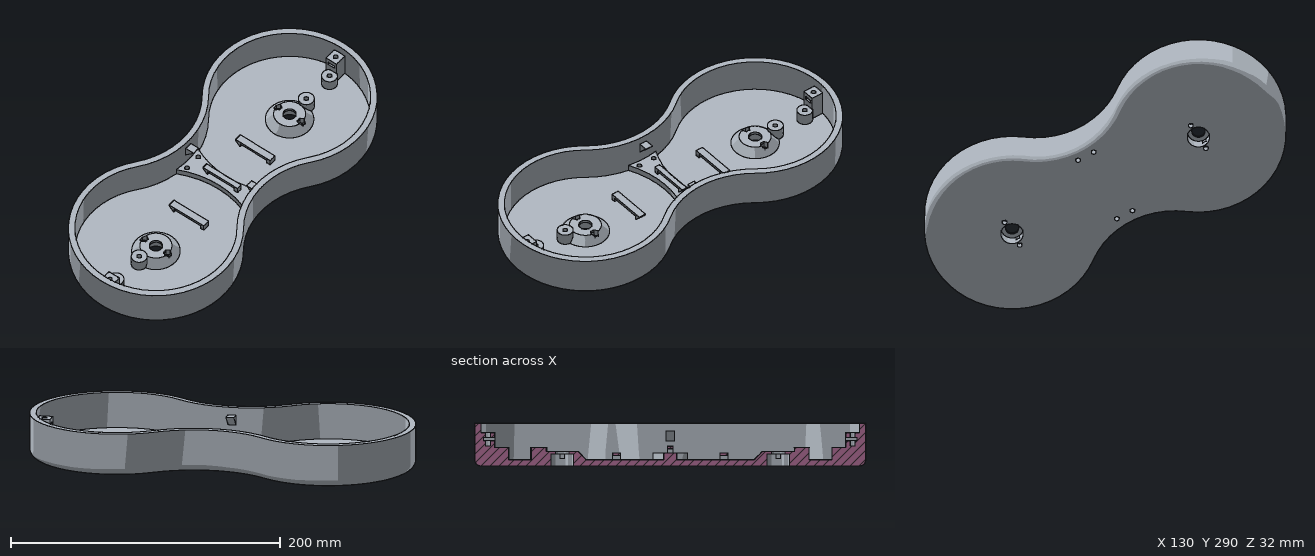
import cadquery as cq
import math

lobe_radius = 65.0
lobe_y = 80.0
height = 32.0
wall = 5.0
floor = 5.0
bottom_round = 5.0
embed = wall / 2

hub_base_radius = 18.0
hub_top_radius = 12.0
hub_top = 11.0
hub_bore_diameter = 10.0
hub_recess_diameter = 16.5
hub_recess_depth = 9.0
hub_screw_x = 11.0
hub_nut_seat = 5.8
hub_nut_corners = 6.0
screw_diameter = 3.5

post_diameter = 12.0
post_x = 2.0
post_ys = (97.5, 125.3)
post_top = 14.0

block_width = 10.0
block_inner_y = 130.0
block_top = 25.0
block_hole_y = 135.0
block_hole_bottom = 15.0
nut_width = 5.8
nut_thickness = 2.3
nut_z = 20.0
nut_slot_depth = 8.5

pad_top = 10.0
pad_clear_radius = 75.0
pad_hole_x = 28.5
pad_hole_y = 6.7

bridge_length = 32.8
bridge_x = -0.72
bridge_rise = 5.0
bridge_plate = 2.0
bridge_window = 25.0
bridge_tip = 1.0
pad_bridge_width = 4.4
floor_bridge_width = 5.8
floor_bridge_y = 39.7

catch_tip_x = 25.0
catch_width = 6.0
catch_top = 26.0

tangent_y = lobe_y / 2
tangent_x = math.sqrt(lobe_radius**2 - tangent_y**2)
waist_centre_x = 2 * tangent_x
waist_inner_x = waist_centre_x - lobe_radius - wall


def cylinder(x, y, bottom, top, diameter):
    return cq.Workplane("XY", origin=(x, y, bottom)).circle(diameter / 2).extrude(top - bottom)


def hex_pocket(x, y, bottom, top, corners):
    """A hexagonal prism with two corners along Y."""
    hexagon = cq.Workplane("XY", origin=(x, y, bottom)).polygon(6, corners).extrude(top - bottom)
    return hexagon.rotate((x, y, 0), (x, y, 1), 90)


def box(x, y, z, size_x, size_y, size_z):
    """A box centred on x and y that stands on z."""
    return cq.Workplane("XY", origin=(x, y, z)).box(size_x, size_y, size_z, centered=(True, True, False))


def half_turn(body):
    """The same body in the opposite lobe."""
    return body.rotate((0, 0, 0), (0, 0, 1), 180)


def lobed_solid(inset, bottom, top):
    """The lobed outline, moved inwards by inset, as a solid between two heights."""
    radius = lobe_radius - inset
    waist_x = waist_centre_x - lobe_radius - inset
    x = tangent_x * radius / lobe_radius
    y = lobe_y - tangent_y * radius / lobe_radius
    return (
        cq.Workplane("XY", origin=(0, 0, bottom))
        .moveTo(x, -y)
        .threePointArc((waist_x, 0), (x, y))
        .threePointArc((0, lobe_y + radius), (-x, y))
        .threePointArc((-waist_x, 0), (-x, -y))
        .threePointArc((0, -lobe_y - radius), (x, -y))
        .close()
        .extrude(top - bottom)
    )


def hub():
    return (
        cq.Workplane("XY", origin=(0, lobe_y, floor))
        .circle(hub_base_radius)
        .workplane(offset=hub_top - floor)
        .circle(hub_top_radius)
        .loft(ruled=True)
    )


def hub_holes():
    bore = cylinder(0, lobe_y, 0, hub_top, hub_bore_diameter)
    holes = bore.union(cylinder(0, lobe_y, 0, hub_recess_depth, hub_recess_diameter))
    for x in (-hub_screw_x, hub_screw_x):
        holes = holes.union(cylinder(x, lobe_y, 0, hub_top, screw_diameter))
        holes = holes.union(hex_pocket(x, lobe_y, hub_nut_seat, hub_top, hub_nut_corners))
    return holes


def post(y):
    """A tube whose bore ends on whatever surface it stands on."""
    tube = cylinder(post_x, y, floor, post_top, post_diameter)
    return tube.cut(cylinder(post_x, y, floor, post_top, screw_diameter))


def lid_block():
    """A block against the end wall with a screw hole and a nut slot facing the lobe centre."""
    length = lobe_y + lobe_radius - embed - block_inner_y
    block = box(0, block_inner_y + length / 2, floor, block_width, length, block_top - floor)
    slot_y = block_inner_y + nut_slot_depth / 2
    slot = box(0, slot_y, nut_z - nut_thickness / 2, nut_width, nut_slot_depth, nut_thickness)
    hole = cylinder(0, block_hole_y, block_hole_bottom, block_top, screw_diameter)
    return block.cut(slot).cut(hole)


def waist_pad():
    pad = lobed_solid(embed, floor, pad_top)
    for y in (-lobe_y, lobe_y):
        pad = pad.cut(cylinder(0, y, floor, pad_top, 2 * pad_clear_radius))
    return pad


def bridge(y, base, width):
    """A flat strap bridge: square leg at +X, leg with an undercut outer face at -X."""
    left = bridge_x - bridge_length / 2
    right = bridge_x + bridge_length / 2
    top = base + bridge_rise
    undercut = bridge_rise - bridge_tip
    body = (
        cq.Workplane("XZ", origin=(0, y + width / 2, 0))
        .moveTo(left, top)
        .lineTo(right, top)
        .lineTo(right, base)
        .lineTo(left + undercut, base)
        .lineTo(left, base + undercut)
        .close()
        .extrude(width)
    )
    return body.cut(box(0, y, base, bridge_window, width, bridge_rise - bridge_plate))


def catch():
    """A wedge on the +X waist wall: flat top, sloping underside."""
    root_x = waist_inner_x + embed
    reach = root_x - catch_tip_x
    return (
        cq.Workplane("XZ", origin=(0, catch_width / 2, 0))
        .moveTo(catch_tip_x, catch_top)
        .lineTo(root_x, catch_top)
        .lineTo(root_x, catch_top - reach)
        .close()
        .extrude(catch_width)
    )


shell = lobed_solid(0, 0, height).faces("<Z").edges().fillet(bottom_round)
result = shell.cut(lobed_solid(wall, floor, height))

result = result.union(waist_pad())
result = result.union(bridge(0, pad_top, pad_bridge_width))
for side in (-1, 1):
    result = result.union(bridge(side * floor_bridge_y, floor, floor_bridge_width))
    for x in (-pad_hole_x, pad_hole_x):
        result = result.cut(cylinder(x, side * pad_hole_y, 0, pad_top, screw_diameter))

for body in (hub(), lid_block(), catch()):
    result = result.union(body).union(half_turn(body))
result = result.cut(hub_holes()).cut(half_turn(hub_holes()))
for y in post_ys:
    result = result.union(post(y)).union(half_turn(post(y)))